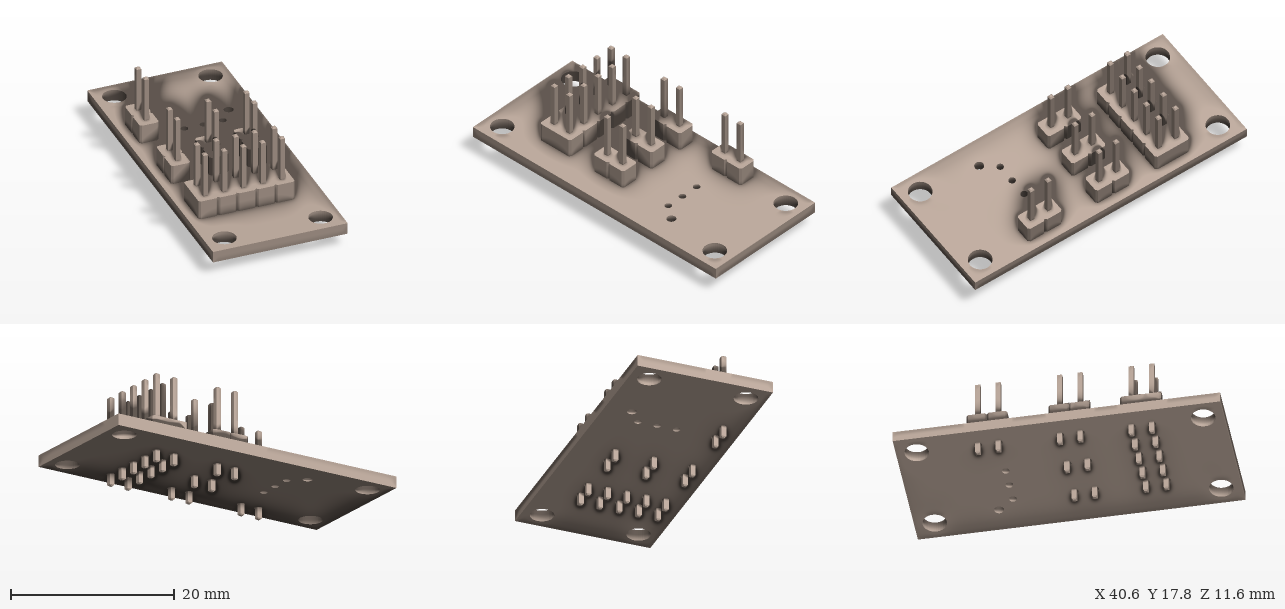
import cadquery as cq


board_length = 40.65
pitch = board_length / 16
board_width = 7 * pitch
board_thickness = 1.5

mount_hole_diameter = 3.0
mount_hole_sides = 38
mount_hole_x = 7 * pitch
mount_hole_y = 2.5 * pitch
sensor_hole_diameter = 0.95
sensor_hole_x = -3 * pitch
sensor_hole_count = 3
sensor_hole_center_y = 0.5 * pitch
locating_hole_diameter = 1.2
locating_hole_x = -9.65
locating_hole_y = 5.4
pin_hole_diameter = 1.0

housing_height = pitch
housing_corner_chamfer = 0.26
pin_width = pitch / 4
pin_tip_chamfer = pin_width / 4
pin_length = 11.55
pin_below_board = 1.5

two_pin_centers = [
    (-3.5 * pitch, -2.5 * pitch),
    (0.5 * pitch, -2.5 * pitch),
    (0.5 * pitch, -0.5 * pitch),
    (0.5 * pitch, 1.5 * pitch),
]
ten_pin_center = (4 * pitch, -0.5 * pitch)


def grid_points(center, columns, rows):
    """Points one pitch apart in a rectangle of columns and rows about a centre."""
    center_x, center_y = center
    return [
        (
            center_x + (column - (columns - 1) / 2) * pitch,
            center_y + (row - (rows - 1) / 2) * pitch,
        )
        for column in range(columns)
        for row in range(rows)
    ]


def make_segment(x, y, length_x, length_y):
    """One block of a housing, standing on the board, with its upright corners chamfered."""
    return (
        cq.Workplane("XY", origin=(x, y, board_thickness))
        .rect(length_x, length_y)
        .extrude(housing_height)
        .edges("|Z")
        .chamfer(housing_corner_chamfer)
    )


def make_pin(x, y):
    """A square pin with both tips chamfered."""
    return (
        cq.Workplane("XY", origin=(x, y, -pin_below_board))
        .rect(pin_width, pin_width)
        .extrude(pin_length)
        .faces("<Z or >Z")
        .chamfer(pin_tip_chamfer)
    )


def make_header(segments, pins):
    """Join touching housing blocks and their pins into one body.

    The chamfered corners of neighbouring blocks leave V notches between them.
    """
    header = segments[0]
    for part in segments[1:] + pins:
        header = header.union(part)
    return header.clean().solids()


def make_two_pin_header(center):
    """Two square blocks side by side along X, with one pin in each."""
    points = grid_points(center, 2, 1)
    segments = [make_segment(x, y, pitch, pitch) for x, y in points]
    pins = [make_pin(x, y) for x, y in points]
    return make_header(segments, pins)


def make_ten_pin_header(center):
    """Five blocks in a row along Y, each two pins wide."""
    segments = [make_segment(x, y, 2 * pitch, pitch) for x, y in grid_points(center, 1, 5)]
    pins = [make_pin(x, y) for x, y in grid_points(center, 2, 5)]
    return make_header(segments, pins)


def cut_round_holes(board, points, diameter):
    """Drill holes of one diameter right through the board."""
    drills = cq.Workplane("XY").pushPoints(points).circle(diameter / 2).extrude(board_thickness)
    return board.cut(drills)


def cut_mount_holes(board):
    """Cut the four corner holes, whose walls are made of narrow flat sides."""
    cutters = (
        cq.Workplane("XY")
        .rect(2 * mount_hole_x, 2 * mount_hole_y, forConstruction=True)
        .vertices()
        .polygon(mount_hole_sides, mount_hole_diameter)
        .extrude(board_thickness)
    )
    return board.cut(cutters)


def make_board():
    """Flat board with mounting holes, component holes and a drilled hole for every pin."""
    board = cq.Workplane("XY").rect(board_length, board_width).extrude(board_thickness)

    board = cut_mount_holes(board)

    sensor_points = grid_points((sensor_hole_x, sensor_hole_center_y), 1, sensor_hole_count)
    board = cut_round_holes(board, sensor_points, sensor_hole_diameter)
    board = cut_round_holes(board, [(locating_hole_x, locating_hole_y)], locating_hole_diameter)

    header_pin_points = grid_points(ten_pin_center, 2, 5)
    for center in two_pin_centers:
        header_pin_points += grid_points(center, 2, 1)
    return cut_round_holes(board, header_pin_points, pin_hole_diameter).solids()


board = make_board()
two_pin_headers = [make_two_pin_header(center) for center in two_pin_centers]
ten_pin_header = make_ten_pin_header(ten_pin_center)

result = cq.Compound.makeCompound(
    [board.val(), *[header.val() for header in two_pin_headers], ten_pin_header.val()]
)